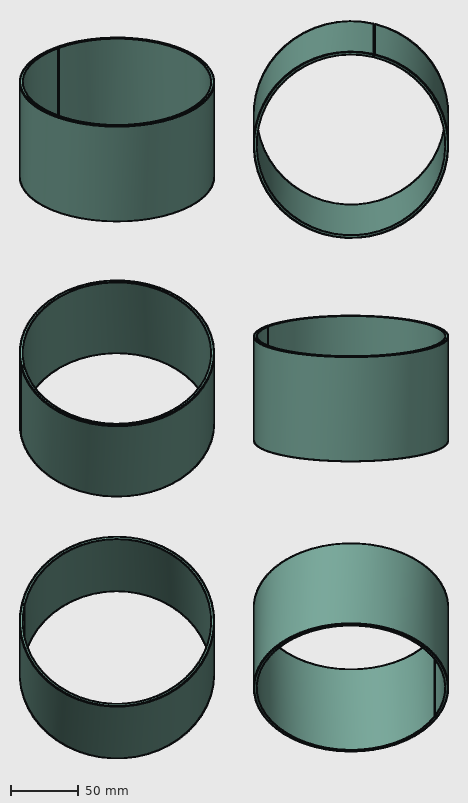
import cadquery as cq

outer_diameter = 145.0
wall_thickness = 2.5
height = 80.0
outer_chamfer = 0.5
inner_chamfer = 0.2
slit_angle = 1.0

outer_radius = outer_diameter / 2
inner_radius = outer_radius - wall_thickness


def wall_section():
    """Wall cross-section on the -X side of the XZ plane, all four corners chamfered."""
    return (
        cq.Workplane("XZ")
        .moveTo(-inner_radius, inner_chamfer)
        .lineTo(-inner_radius - inner_chamfer, 0)
        .lineTo(-outer_radius + outer_chamfer, 0)
        .lineTo(-outer_radius, outer_chamfer)
        .lineTo(-outer_radius, height - outer_chamfer)
        .lineTo(-outer_radius + outer_chamfer, height)
        .lineTo(-inner_radius - inner_chamfer, height)
        .lineTo(-inner_radius, height - inner_chamfer)
        .close()
    )


def split_sleeve():
    """Section swept round Z from -X through -Y, stopping short to leave a slit on the +Y side of -X."""
    axis_start = (0, 0, 0)
    axis_end = (0, 1, 0)
    return wall_section().revolve(360 - slit_angle, axis_start, axis_end)


result = split_sleeve()